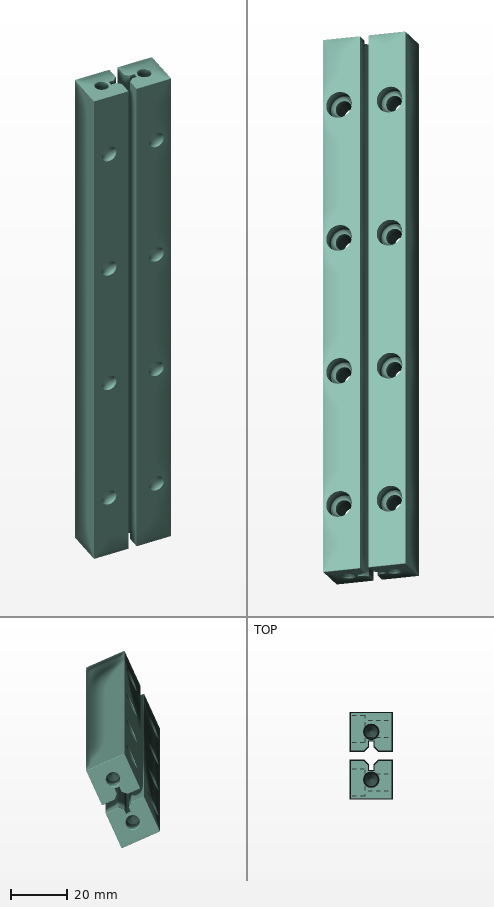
import cadquery as cq
import math

rail_width = 15.0
rail_length = 200.0
pair_width = 31.0
rail_gap = 3.2
rail_thickness = (pair_width - rail_gap) / 2
end_chamfer = 0.1

groove_opening = 5.0
relief_width = 1.8
relief_depth = 3.5

mount_hole_count = 4
mount_hole_pitch = 50.0
mount_hole_diameter = 6.0
counterbore_diameter = 9.5
counterbore_depth = 5.2
mount_hole_edge_distance = 6.0

end_hole_diameter = 5.0
end_hole_mouth_diameter = 5.5
end_hole_depth = 10.0
drill_point_angle = 90.0

inner_face_y = rail_gap / 2
outer_face_y = pair_width / 2
rail_middle_y = (inner_face_y + outer_face_y) / 2


def make_block():
    """Plain rail blank on the +Y side, its inner face towards the gap."""
    return cq.Workplane("XY").box(rail_width, rail_thickness, rail_length).translate(
        (0, rail_middle_y, 0)
    )


def make_groove():
    """Cutter for the V groove and its relief slot, over the full rail length."""
    half_opening = groove_opening / 2
    half_relief = relief_width / 2
    v_root_y = inner_face_y + half_opening - half_relief
    slot_floor_y = inner_face_y + relief_depth
    return (
        cq.Workplane("XY")
        .workplane(offset=-rail_length / 2)
        .moveTo(-half_opening, inner_face_y)
        .lineTo(-half_relief, v_root_y)
        .lineTo(-half_relief, slot_floor_y)
        .lineTo(half_relief, slot_floor_y)
        .lineTo(half_relief, v_root_y)
        .lineTo(half_opening, inner_face_y)
        .close()
        .extrude(rail_length)
    )


def make_mounting_hole(z):
    """Cutter for one hole along X, counterbored from the -X face."""
    entry = cq.Vector(-rail_width / 2, outer_face_y - mount_hole_edge_distance, z)
    along_x = cq.Vector(1, 0, 0)
    bore = cq.Solid.makeCylinder(mount_hole_diameter / 2, rail_width, entry, along_x)
    counterbore = cq.Solid.makeCylinder(counterbore_diameter / 2, counterbore_depth, entry, along_x)
    return cq.Workplane(bore).union(cq.Workplane(counterbore))


def make_end_hole(end):
    """Cutter for the blind hole in the top (end = 1) or bottom (end = -1) face."""
    radius = end_hole_diameter / 2
    mouth_radius = end_hole_mouth_diameter / 2
    point_height = radius / math.tan(math.radians(drill_point_angle / 2))
    profile = (
        cq.Workplane("XZ")
        .lineTo(mouth_radius, 0)
        .lineTo(radius, radius - mouth_radius)
        .lineTo(radius, -end_hole_depth)
        .lineTo(0, -end_hole_depth - point_height)
        .close()
    )
    cutter = profile.revolve(360, (0, 0, 0), (0, 1, 0))
    if end < 0:
        cutter = cutter.mirror("XY")
    return cutter.translate((0, rail_middle_y, end * rail_length / 2))


def make_rail():
    """Complete rail on the +Y side."""
    rail = make_block().cut(make_groove())
    rail = rail.faces("<Z or >Z").chamfer(end_chamfer)
    first_z = -(mount_hole_count - 1) * mount_hole_pitch / 2
    for index in range(mount_hole_count):
        rail = rail.cut(make_mounting_hole(first_z + index * mount_hole_pitch))
    for end in (1, -1):
        rail = rail.cut(make_end_hole(end))
    return rail


rear_rail = make_rail()
rails = [rear_rail, rear_rail.mirror("XZ")]

result = cq.Compound.makeCompound([rail.val() for rail in rails])